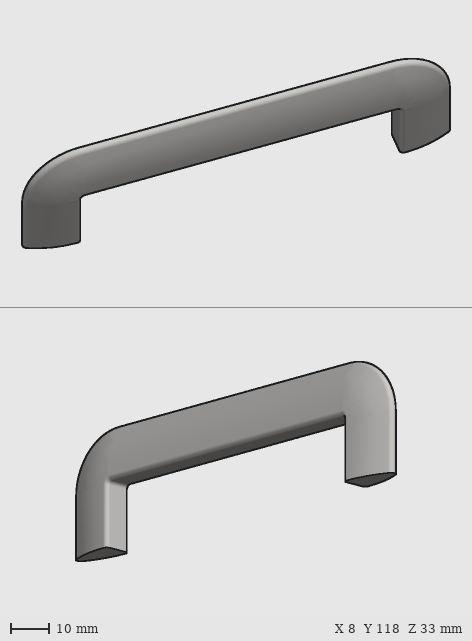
import cadquery as cq
import math

length = 118.0
height = 33.0
width = 8.0
depth = 15.0
bend_radius = 16.0
nose_radius = 1.4
edge_radius = 1.2

half_width = width / 2
half_span = length / 2 - bend_radius
leg_height = height - bend_radius

flank_run = depth - edge_radius - nose_radius
flank_radius = (half_width**2 + flank_run**2 - nose_radius**2) / (2 * (half_width - nose_radius))
flank_angle = math.asin(flank_run / (flank_radius - nose_radius))


def flank_point(angle):
    """Point on the +X flank as (x, distance from the nose tip)."""
    x = half_width - flank_radius * (1 - math.cos(angle))
    return x, depth - edge_radius - flank_radius * math.sin(angle)


def section(plane):
    """Handle section with local x across it and local y from inside to outside.

    The plane origin is the centre of the adjoining bend.
    """
    def at(x, from_nose):
        return x, bend_radius - from_nose

    nose_x, nose_end = flank_point(flank_angle)
    mid_x, mid_depth = flank_point(flank_angle / 2)
    flank_end = depth - edge_radius
    flat_half = half_width - edge_radius
    corner_x = flat_half + edge_radius * math.sqrt(0.5)
    corner_depth = flank_end + edge_radius * math.sqrt(0.5)
    return (
        cq.Workplane(plane)
        .moveTo(*at(-nose_x, nose_end))
        .threePointArc(at(0, 0), at(nose_x, nose_end))
        .threePointArc(at(mid_x, mid_depth), at(half_width, flank_end))
        .threePointArc(at(corner_x, corner_depth), at(flat_half, depth))
        .lineTo(*at(-flat_half, depth))
        .threePointArc(at(-corner_x, corner_depth), at(-half_width, flank_end))
        .threePointArc(at(-mid_x, mid_depth), at(-nose_x, nose_end))
        .close()
    )


def bar_section():
    """Upright section where the bar meets the +Y bend."""
    bend_centre = (0, half_span, leg_height)
    return section(cq.Plane(origin=bend_centre, xDir=(1, 0, 0), normal=(0, -1, 0)))


def leg():
    """Straight leg at the +Y end, from the bend down to the foot."""
    bend_centre = (0, half_span, leg_height)
    return section(cq.Plane(origin=bend_centre, xDir=(1, 0, 0), normal=(0, 0, 1))).extrude(-leg_height)


def bend():
    """Quarter turn joining the bar to the +Y leg."""
    return bar_section().revolve(90, (0, 0), (-1, 0))


bar = bar_section().extrude(2 * half_span)
corner = bend().union(leg())
result = bar.union(corner).union(corner.mirror("XZ"))